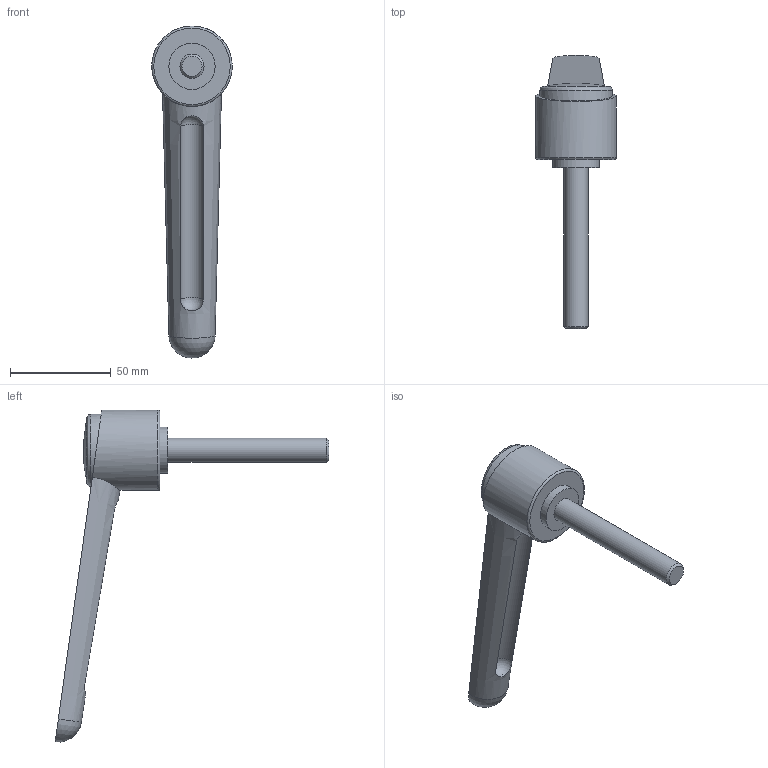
import cadquery as cq
import math


shaft_diameter = 12.0
shaft_length = 80.0
shaft_chamfer = 1.0
collar_diameter = 23.0
collar_height = 4.0

hub_core_y = 2 * collar_height

hub_diameter = 40.0
hub_edge_radius = 1.0
cap_diameter = 36.0
cap_crown_y = 42.1
cap_dome_radius = 75.0
cap_edge_radius = 2.0

handle_tilt = 8.0
handle_root_radius = 15.0
handle_tip_radius = 11.5
handle_reach_y = 56.0
handle_lowest_z = -145.02

groove_radius = 5.65
groove_start = 28.4
groove_end = 115.6

tilt = math.radians(handle_tilt)
tip_center_z = handle_lowest_z + handle_tip_radius
tip_center_y = handle_reach_y - handle_tip_radius * math.sin(tilt)
handle_root_y = tip_center_y + tip_center_z * math.tan(tilt)
handle_length = -tip_center_z / math.cos(tilt)

handle_plane = cq.Plane(
    origin=(0, handle_root_y, 0),
    xDir=(0, math.sin(tilt), -math.cos(tilt)),
    normal=(0, -math.cos(tilt), -math.sin(tilt)),
)


def cylinder_along_y(diameter, start_y, end_y):
    """Solid cylinder on the Y axis between two Y positions."""
    base = cq.Workplane("XZ", origin=(0, start_y, 0))
    return base.circle(diameter / 2).extrude(start_y - end_y)


def make_shaft():
    shaft = cylinder_along_y(shaft_diameter, -shaft_length, hub_core_y)
    return shaft.faces("<Y").chamfer(shaft_chamfer)


def make_hub():
    """Cylindrical hub, with the material behind the sloping handle plane removed."""
    hub = cylinder_along_y(hub_diameter, collar_height, cap_crown_y)
    hub = hub.faces("<Y").fillet(hub_edge_radius)
    trim_size = 3 * hub_diameter
    trim = cq.Workplane(handle_plane).rect(trim_size, trim_size).extrude(-trim_size)
    return hub.cut(trim)


def make_cap():
    """Cylindrical cap under a shallow spherical dome, with a rounded rim."""
    cylinder = cylinder_along_y(cap_diameter, hub_core_y, cap_crown_y)
    dome_center = (0, cap_crown_y - cap_dome_radius, 0)
    dome = cq.Workplane("XY", origin=dome_center).sphere(cap_dome_radius)
    return cylinder.intersect(dome).edges(">Y").fillet(cap_edge_radius)


def make_handle():
    """Tapered half-round bar with a ball end."""
    arc_mid_offset = handle_tip_radius * math.sqrt(0.5)
    profile = (
        cq.Workplane(handle_plane)
        .lineTo(0, -handle_root_radius)
        .lineTo(handle_length, -handle_tip_radius)
        .threePointArc(
            (handle_length + arc_mid_offset, -arc_mid_offset),
            (handle_length + handle_tip_radius, 0),
        )
        .close()
    )
    return profile.revolve(180, (0, 0, 0), (-1, 0, 0))


def groove_center(distance):
    """Point on the groove axis, at the depth where the cone is as wide as the groove."""
    taper = (handle_root_radius - handle_tip_radius) / handle_length
    cone_radius = handle_root_radius - taper * distance
    depth = math.sqrt(cone_radius**2 - groove_radius**2)
    return handle_plane.toWorldCoords((distance, 0, depth))


def make_groove():
    """Round-bottomed groove cutter with ball ends."""
    start = groove_center(groove_start)
    end = groove_center(groove_end)
    span = end - start
    groove_plane = cq.Plane(origin=start, xDir=span, normal=(1, 0, 0))
    profile = (
        cq.Workplane(groove_plane)
        .moveTo(-groove_radius, 0)
        .radiusArc((0, groove_radius), groove_radius)
        .lineTo(span.Length, groove_radius)
        .radiusArc((span.Length + groove_radius, 0), groove_radius)
        .close()
    )
    return profile.revolve(360, (0, 0, 0), (1, 0, 0))


collar = cylinder_along_y(collar_diameter, 0, hub_core_y)
handle = make_handle().cut(make_groove())
result = make_hub().union(handle).union(make_cap()).union(collar).union(make_shaft())